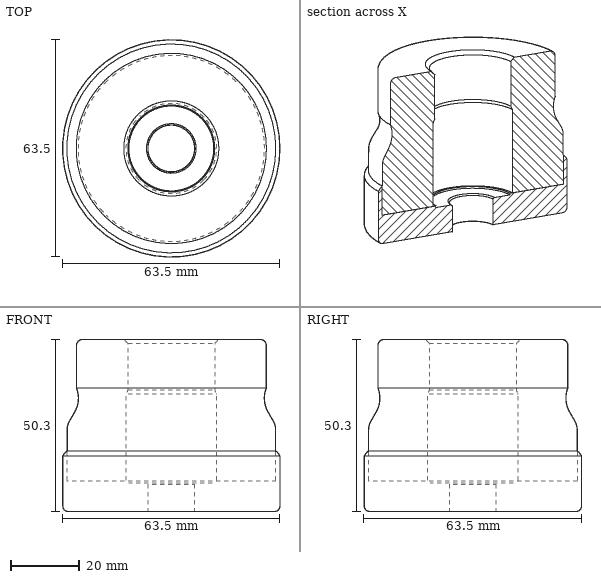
import cadquery as cq
import math

TOTAL_HEIGHT = 50.31
BASE_RADIUS = 31.75

BASE_BOTTOM_FILLET = 1.6
BASE_SIDE_TOP = 16.3
RIM_CHAMFER_RADIUS = 31.15
RIM_CHAMFER_TOP = 17.15
RIM_LIP_RADIUS = 30.95
RIM_LIP_TOP = 17.35
RIM_CREST_HEIGHT = 17.75
BASE_FLOOR = RIM_CREST_HEIGHT / 2
POCKET_RADIUS = 12.4
POCKET_DEPTH = 0.5
POCKET_FLOOR = BASE_FLOOR - POCKET_DEPTH
BOLT_HOLE_RADIUS = 6.8
BOLT_HOLE_CHAMFER = 0.45

SKIRT_RADIUS = 30.5
SKIRT_TOP = 23.9
SHOULDER_RADIUS = 5.0
CONE_ANGLE = math.radians(30)
CONE_HEIGHT = 2.7
WAIST_RADIUS = 8.0
HEAD_RADIUS = 27.78
HEAD_FILLET = 1.905

BORE_RADIUS = 12.7
BORE_LENGTH = 14.85
BORE_BOTTOM = TOTAL_HEIGHT - BORE_LENGTH
ENTRY_CHAMFER = 1.2
RELIEF_DEPTH = 0.5
RELIEF_RADIUS = BORE_RADIUS + RELIEF_DEPTH
RELIEF_ANGLE = math.radians(25)
RELIEF_TAPER_HEIGHT = RELIEF_DEPTH / math.tan(RELIEF_ANGLE)


def revolve_profile(profile):
    """Turn a closed (radius, height) profile about the Z axis."""
    return profile.close().revolve(360, (0, 0, 0), (0, 1, 0))


def arc_point(center, radius, angle):
    """Point on a circle in the (radius, height) plane."""
    return (center[0] + radius * math.cos(angle), center[1] + radius * math.sin(angle))


def make_base():
    fillet_center = (BASE_RADIUS - BASE_BOTTOM_FILLET, BASE_BOTTOM_FILLET)
    profile = (
        cq.Workplane("XZ")
        .moveTo(BOLT_HOLE_RADIUS, 0)
        .lineTo(fillet_center[0], 0)
        .threePointArc(
            arc_point(fillet_center, BASE_BOTTOM_FILLET, -math.pi / 4),
            (BASE_RADIUS, BASE_BOTTOM_FILLET),
        )
        .lineTo(BASE_RADIUS, BASE_SIDE_TOP)
        .lineTo(RIM_CHAMFER_RADIUS, RIM_CHAMFER_TOP)
        .lineTo(RIM_LIP_RADIUS, RIM_LIP_TOP)
        .lineTo(SKIRT_RADIUS, RIM_CREST_HEIGHT)
        .lineTo(SKIRT_RADIUS, BASE_FLOOR)
        .lineTo(POCKET_RADIUS, BASE_FLOOR)
        .lineTo(POCKET_RADIUS, POCKET_FLOOR)
        .lineTo(BOLT_HOLE_RADIUS + BOLT_HOLE_CHAMFER, POCKET_FLOOR)
        .lineTo(BOLT_HOLE_RADIUS, POCKET_FLOOR - BOLT_HOLE_CHAMFER)
    )
    return revolve_profile(profile)


def make_sleeve():
    shoulder_center = (SKIRT_RADIUS - SHOULDER_RADIUS, SKIRT_TOP)
    shoulder_middle = arc_point(shoulder_center, SHOULDER_RADIUS, CONE_ANGLE / 2)
    cone_bottom = arc_point(shoulder_center, SHOULDER_RADIUS, CONE_ANGLE)
    cone_top = (
        cone_bottom[0] - CONE_HEIGHT * math.tan(CONE_ANGLE),
        cone_bottom[1] + CONE_HEIGHT,
    )

    waist_center = (
        cone_top[0] + WAIST_RADIUS * math.cos(CONE_ANGLE),
        cone_top[1] + WAIST_RADIUS * math.sin(CONE_ANGLE),
    )
    waist_middle = arc_point(waist_center, WAIST_RADIUS, math.pi)
    waist_half_height = math.sqrt(WAIST_RADIUS**2 - (waist_center[0] - HEAD_RADIUS) ** 2)
    head_bottom = waist_center[1] + waist_half_height

    fillet_center = (HEAD_RADIUS - HEAD_FILLET, TOTAL_HEIGHT - HEAD_FILLET)
    profile = (
        cq.Workplane("XZ")
        .moveTo(RELIEF_RADIUS, BASE_FLOOR)
        .lineTo(SKIRT_RADIUS, BASE_FLOOR)
        .lineTo(SKIRT_RADIUS, SKIRT_TOP)
        .threePointArc(shoulder_middle, cone_bottom)
        .lineTo(*cone_top)
        .threePointArc(waist_middle, (HEAD_RADIUS, head_bottom))
        .lineTo(HEAD_RADIUS, fillet_center[1])
        .threePointArc(
            arc_point(fillet_center, HEAD_FILLET, math.pi / 4),
            (fillet_center[0], TOTAL_HEIGHT),
        )
        .lineTo(BORE_RADIUS + ENTRY_CHAMFER, TOTAL_HEIGHT)
        .lineTo(BORE_RADIUS, TOTAL_HEIGHT - ENTRY_CHAMFER)
        .lineTo(BORE_RADIUS, BORE_BOTTOM)
        .lineTo(RELIEF_RADIUS, BORE_BOTTOM - RELIEF_TAPER_HEIGHT)
    )
    return revolve_profile(profile)


base = make_base()
sleeve = make_sleeve()

result = cq.Compound.makeCompound([base.val(), sleeve.val()])